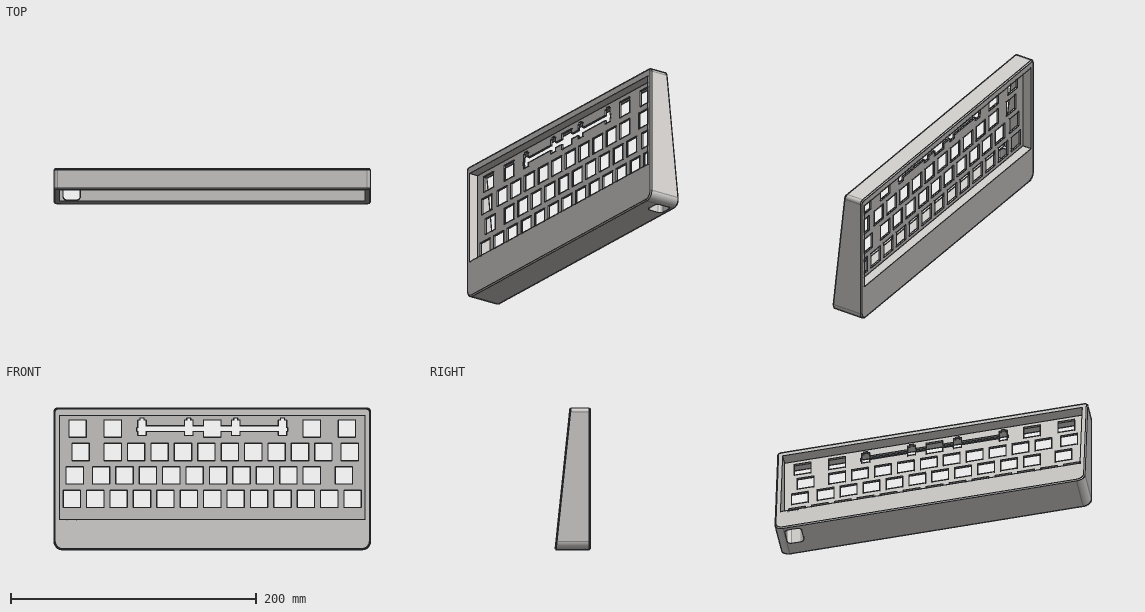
import cadquery as cq

width = 257.8
height = 115.5
depth_bottom = 28.9
depth_top = 16.8
top_corner_radius = 3.0
bottom_corner_radius = 7.0
edge_chamfer = 1.0
cut_margin = 2.5

units_across = 13
bottom_row_span = 228.5
unit = bottom_row_span / (units_across - 1)
bottom_row_z = 41.5
switch_size = 14.0

space_width = 7
key_rows = [
    [1] * units_across,
    [1.25] + [1] * 10 + [1.75],
    [1.75] + [1] * 10 + [1.25],
    [1.5, 1.5, space_width, 1.5, 1.5],
]
space_row_z = bottom_row_z + (len(key_rows) - 1) * unit

recess_wall = 4.5
recess_bottom = 24.7
recess_top = 109.3
plate_front = 9.5
plate_thickness = 1.5
plate_back = plate_front - plate_thickness

cavity_clearance = 0.8
cavity_bottom = bottom_row_z - unit / 2 - cavity_clearance
cavity_top = recess_top

stabiliser_offsets = [1 * unit, 3 * unit]
stabiliser_width = 6.7
stabiliser_above = switch_size / 2
stabiliser_below = 5.5
wire_slot_half_height = 2.3
top_notch_width = 3.0
top_notch_height = 1.5
side_notch_depth = 0.8
side_notch_above = 0.8

cable_hole_left = -121.5
cable_hole_width = 14.0
cable_hole_front = 25.5
cable_hole_length = 14.2
cable_hole_radius = 3.0


def box(x_min, x_max, depth_min, depth_max, z_min, z_max):
    """Box between two X values, two depths in front of the back face and two heights."""
    size = (x_max - x_min, depth_max - depth_min, z_max - z_min)
    return cq.Workplane("XY").box(*size, centered=False).translate((x_min, -depth_max, z_min))


def plate_cutter(x_min, x_max, z_min, z_max):
    """Rectangular opening through the switch plate."""
    return box(x_min, x_max, plate_back - cut_margin, plate_front + cut_margin, z_min, z_max)


def case_body():
    """Wedge with rounded corners and chamfered front and back edges."""
    profile = [(0, 0), (-depth_bottom, 0), (-depth_top, height), (0, height)]
    wedge = cq.Workplane("YZ").polyline(profile).close().extrude(width / 2, both=True)
    wedge = wedge.edges("|Y and >Z").fillet(top_corner_radius)
    wedge = wedge.edges("|Y and <Z").fillet(bottom_corner_radius)
    return wedge.faces(">Y or <Y").edges().chamfer(edge_chamfer)


def switch_openings():
    """Square switch openings, one at the centre of every key."""
    openings = cq.Workplane("XY")
    half = switch_size / 2
    for row, key_widths in enumerate(key_rows):
        z = bottom_row_z + row * unit
        key_left = -units_across * unit / 2
        for key_width in key_widths:
            x = key_left + key_width * unit / 2
            openings = openings.add(plate_cutter(x - half, x + half, z - half, z + half))
            key_left += key_width * unit
    return openings.combine()


def stabiliser_openings():
    """Wire slot and stabiliser pockets either side of the space bar switch."""
    z = space_row_z
    reach = max(stabiliser_offsets)
    pocket_half = stabiliser_width / 2
    notch_half = top_notch_width / 2
    slot_bottom = z - wire_slot_half_height
    pocket_top = z + stabiliser_above
    openings = plate_cutter(-reach, reach, slot_bottom, z + wire_slot_half_height)
    for offset in stabiliser_offsets:
        for x in (-offset, offset):
            pocket = plate_cutter(x - pocket_half, x + pocket_half, z - stabiliser_below, pocket_top)
            notch = plate_cutter(x - notch_half, x + notch_half, z, pocket_top + top_notch_height)
            openings = openings.union(pocket).union(notch)
    side_reach = reach + pocket_half + side_notch_depth
    for x_min, x_max in ((-side_reach, -reach), (reach, side_reach)):
        openings = openings.union(plate_cutter(x_min, x_max, slot_bottom, z + side_notch_above))
    return openings


def cable_hole():
    """Round-cornered upright hole from the shelf to the underside."""
    hole = box(
        cable_hole_left,
        cable_hole_left + cable_hole_width,
        cable_hole_front - cable_hole_length,
        cable_hole_front,
        -cut_margin,
        recess_bottom + cut_margin,
    )
    return hole.edges("|Z").fillet(cable_hole_radius)


recess_side = width / 2 - recess_wall
recess = box(-recess_side, recess_side, plate_front, depth_bottom + cut_margin, recess_bottom, recess_top)
cavity = box(-recess_side, recess_side, -cut_margin, plate_back, cavity_bottom, cavity_top)

result = case_body().cut(recess).cut(cavity)
result = result.cut(switch_openings()).cut(stabiliser_openings()).cut(cable_hole())